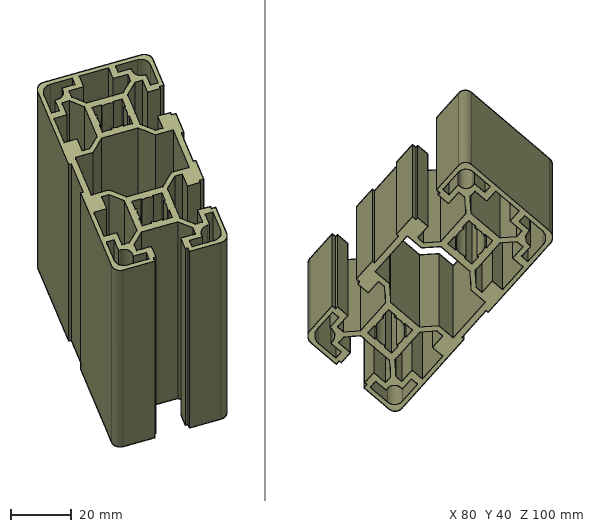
import cadquery as cq
import math

CELL = 40.0
HALF_CELL = CELL / 2
LENGTH = 100.0
CORNER_RADIUS = 3.0
WALL = 1.5

MOUTH_HALF = 5.1
STEP_HALF = 6.0
STEP_DEPTH = WALL
LIP_UNDERSIDE = 14.0
SLOT_FLOOR = 7.5
SLOT_HALF = 10.2
WEB_OFFSET = 1.2

CORE_HALF = 5.2
CORE_RIB_HALF = 2.0
CORE_BORE_RADIUS = 5.0

CHAMBER_OUTER = HALF_CELL - WALL
CHAMBER_INNER = 15.8
CHAMBER_END = 7.5
CHAMBER_CORNER_RADIUS = 3.4
CHAMBER_ARC_CENTRE = 15.0
CHAMBER_ARC_RADIUS = 3.0

CENTRE_HALF_WIDTH = 8.0
CENTRE_HALF_HEIGHT = 17.0
GROOVE_HALF = 6.0
GROOVE_DEPTH = 0.9


def prism(points):
    """Extrude a closed polygon over the full length."""
    return cq.Workplane("XY").polyline(points).close().extrude(LENGTH)


def bar(width, height):
    """Full-length rectangular bar centred on the Z axis."""
    return cq.Workplane("XY").rect(width, height).extrude(LENGTH)


def slot(is_open):
    """T-slot facing +Y in a cell; a closed slot keeps the outer wall."""
    right_side = [
        (SLOT_FLOOR - WEB_OFFSET, SLOT_FLOOR),
        (SLOT_HALF, SLOT_HALF + WEB_OFFSET),
        (SLOT_HALF, LIP_UNDERSIDE),
        (MOUTH_HALF, LIP_UNDERSIDE),
    ]
    if is_open:
        right_side += [
            (MOUTH_HALF, HALF_CELL - STEP_DEPTH),
            (STEP_HALF, HALF_CELL - STEP_DEPTH),
            (STEP_HALF, HALF_CELL),
        ]
    else:
        right_side.append((MOUTH_HALF, HALF_CELL - WALL))
    left_side = [(-x, y) for x, y in reversed(right_side)]
    return prism(right_side + left_side)


def core_hole():
    """Square hole with one rib per side, hollowed to the bore radius."""
    ribs = bar(2 * CORE_RIB_HALF, 2 * CORE_HALF).union(bar(2 * CORE_HALF, 2 * CORE_RIB_HALF))
    bore = cq.Workplane("XY").circle(CORE_BORE_RADIUS).extrude(LENGTH)
    return bar(2 * CORE_HALF, 2 * CORE_HALF).cut(ribs).union(bore)


def corner_chamber():
    """L-shaped chamber in the +X +Y corner of a cell."""
    arc_end = CHAMBER_ARC_CENTRE - CHAMBER_ARC_RADIUS
    arc_middle = CHAMBER_ARC_CENTRE - CHAMBER_ARC_RADIUS * math.sqrt(0.5)
    round_start = CHAMBER_OUTER - CHAMBER_CORNER_RADIUS
    round_middle = round_start + CHAMBER_CORNER_RADIUS * math.sqrt(0.5)
    return (
        cq.Workplane("XY")
        .moveTo(CHAMBER_END, CHAMBER_OUTER)
        .lineTo(round_start, CHAMBER_OUTER)
        .threePointArc((round_middle, round_middle), (CHAMBER_OUTER, round_start))
        .lineTo(CHAMBER_OUTER, CHAMBER_END)
        .lineTo(CHAMBER_INNER, CHAMBER_END)
        .lineTo(CHAMBER_INNER, arc_end)
        .lineTo(CHAMBER_ARC_CENTRE, arc_end)
        .threePointArc((arc_middle, arc_middle), (arc_end, CHAMBER_ARC_CENTRE))
        .lineTo(arc_end, CHAMBER_INNER)
        .lineTo(CHAMBER_END, CHAMBER_INNER)
        .close()
        .extrude(LENGTH)
    )


def right_cell_voids(outer_slot_open):
    """All voids of the +X cell, placed at its centre."""
    origin = (0, 0, 0)
    z_axis = (0, 0, 1)
    voids = core_hole()
    voids = voids.union(slot(True))
    voids = voids.union(slot(False).rotate(origin, z_axis, 180))
    voids = voids.union(slot(outer_slot_open).rotate(origin, z_axis, -90))
    chamber = corner_chamber()
    voids = voids.union(chamber).union(chamber.mirror("XZ"))
    return voids.translate((HALF_CELL, 0, 0))


def central_chamber():
    """Chamber between the two cells, widened to the core walls."""
    wide_half = HALF_CELL - SLOT_FLOOR
    wide_half_height = SLOT_FLOOR - WEB_OFFSET
    narrow_half_height = HALF_CELL - CENTRE_HALF_WIDTH - WEB_OFFSET
    upper_right = [
        (wide_half, wide_half_height),
        (CENTRE_HALF_WIDTH, narrow_half_height),
        (CENTRE_HALF_WIDTH, CENTRE_HALF_HEIGHT),
    ]
    upper = upper_right + [(-x, y) for x, y in reversed(upper_right)]
    lower = [(x, -y) for x, y in reversed(upper)]
    return prism(upper + lower)


body = bar(2 * CELL, CELL).edges("|Z").fillet(CORNER_RADIUS)
body = body.cut(central_chamber())

body = body.cut(right_cell_voids(outer_slot_open=True))
body = body.cut(right_cell_voids(outer_slot_open=False).mirror("YZ"))

for side in (1, -1):
    groove = bar(2 * GROOVE_HALF, 2 * GROOVE_DEPTH).translate((0, side * HALF_CELL, 0))
    body = body.cut(groove)

result = body